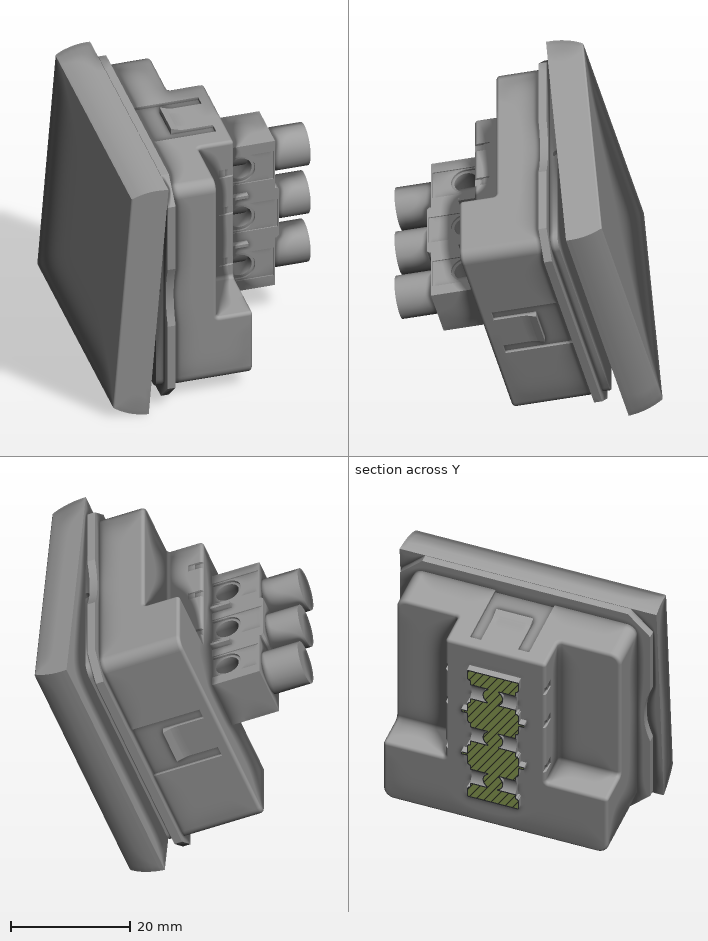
import cadquery as cq


frame_size = 44.85
frame_thickness = 1.4
frame_corner = 4.0
grip_chord = 11.5
grip_depth = 1.15

housing_size = 40.2
housing_depth = 14.25
housing_radius = 1.95
rear_edge_radius = 0.6

core_half_width = 9.0
recess_floor = 7.92
recess_bottom = -7.35

collar_depth = 1.3
collar_size = 39.9
pivot_radius = 0.7
pivot_length = 0.8
pivot_depth = 0.9
support_width = 27.65
support_height = 25.35
support_depth = 3.22

rocker_width = 46.05
rocker_front_width = 44.95
rocker_length = 45.05
rocker_depth = 6.17
rocker_skirt = 0.8
rocker_front_inset = 1.6
rocker_edge_radius = 0.3
rocker_tilt = 4.4
rocker_front_reach = 10.9

tongue_width = 6.65
latch_slot_width = 2.0
latch_pocket_depth = 0.55
latch_pocket_rear = 12.2
tongue_front = 4.9
catch_knee = 6.17
catch_rear = 7.45
catch_height = 0.65
catch_knee_height = 0.2

terminal_pitch = 9.8
terminal_middle = 1.0
terminal_heights = [terminal_middle + i * terminal_pitch for i in (-1, 0, 1)]
block_width = 9.2
block_rear = 22.7
block_end_margin = 4.85
raised_rear = 23.4
raised_height = 10.05
raised_chamfer = 0.35
post_radius = 3.7
post_rear = 29.25
bay_height = 5.57
bay_depth = 0.2
bay_rear_wall = 0.28
wire_hole_y = 16.75
wire_hole_radius = 2.05
screw_radius = 1.8
entry_radius = 2.55
entry_depth = 0.35

rib_width = 11.3
rib_thickness = 0.55
rib_rear = 17.8
divider_heights = [terminal_middle + side * terminal_pitch / 2 for side in (-1, 1)]
notch_heights = [-4.1, 6.2, 13.8]
notch_height = 1.6
notch_depth = 0.45
notch_step_depth = 0.25
notch_step = 12.7
notch_end = 11.6


def box(x_range, y_range, z_range):
    """Box spanning the given (low, high) ranges."""
    size = [high - low for low, high in (x_range, y_range, z_range)]
    return cq.Workplane("XY").box(*size, centered=False).translate((x_range[0], y_range[0], z_range[0]))


def centred_box(width, y_range, height, z_middle=0.0):
    """Box centred on X = 0 and on the given height."""
    half = width / 2
    return box((-half, half), y_range, (z_middle - height / 2, z_middle + height / 2))


def y_cylinder(radius, y_start, y_end, x, z):
    """Cylinder along Y."""
    return cq.Workplane("XZ", origin=(x, y_start, z)).circle(radius).extrude(y_start - y_end)


def x_cylinder(radius, x_start, x_end, y, z):
    """Cylinder along X."""
    return cq.Workplane("YZ", origin=(x_start, y, z)).circle(radius).extrude(x_end - x_start)


def make_frame():
    frame = centred_box(frame_size, (-frame_thickness, 0), frame_size).edges("|Y").chamfer(frame_corner)
    grip_radius = (grip_chord**2 / 4 + grip_depth**2) / (2 * grip_depth)
    grip_centre = frame_size / 2 - grip_depth + grip_radius
    for side in (-1, 1):
        frame = frame.cut(y_cylinder(grip_radius, -frame_thickness, 0, side * grip_centre, 0))
    return frame


def make_housing():
    half = housing_size / 2
    housing = centred_box(housing_size, (0, housing_depth), housing_size)
    housing = housing.edges("|Y").fillet(housing_radius)
    for side in (-1, 1):
        x_range = sorted((side * core_half_width, side * half))
        housing = housing.cut(box(x_range, (recess_floor, housing_depth), (recess_bottom, half)))
    recess_edges = cq.selectors.BoxSelector(
        (-housing_size, recess_floor - rear_edge_radius, recess_bottom - rear_edge_radius),
        (housing_size, housing_depth - rear_edge_radius, housing_size),
    )
    rear_edges = housing.faces(">Y").edges()
    return rear_edges.add(housing.edges(recess_edges)).fillet(rear_edge_radius)


def make_latch_pocket():
    """Pocket in the top face of the housing, on three sides of the tongue."""
    surface = housing_size / 2
    pocket_width = tongue_width + 2 * latch_slot_width
    pocket = centred_box(pocket_width, (0, latch_pocket_rear), 2 * latch_pocket_depth, surface)
    tongue = centred_box(
        tongue_width, (tongue_front, latch_pocket_rear), 2 * latch_pocket_depth, surface
    )
    return pocket.cut(tongue)


def make_catch():
    """Ramp on the top tongue: a concave rise, then a straight slope up to the tongue front."""
    surface = housing_size / 2
    return (
        cq.Workplane("YZ", origin=(-tongue_width / 2, 0, 0))
        .moveTo(latch_pocket_rear, surface)
        .lineTo(catch_rear, surface)
        .tangentArcPoint((catch_knee, surface + catch_knee_height), relative=False)
        .lineTo(tongue_front, surface + catch_height)
        .lineTo(tongue_front, surface - latch_pocket_depth)
        .lineTo(latch_pocket_rear, surface - latch_pocket_depth)
        .close()
        .extrude(tongue_width)
    )


def make_notches():
    """Notches in the core side walls, open to the rear, with a shallower step at the front."""
    floor_x = core_half_width - notch_depth
    step_x = core_half_width - notch_step_depth
    notches = cq.Workplane("XY")
    for z in notch_heights:
        notch = (
            cq.Workplane("XY", origin=(0, 0, z - notch_height / 2))
            .polyline([
                (core_half_width, notch_end),
                (step_x, notch_end),
                (step_x, notch_step),
                (floor_x, notch_step),
                (floor_x, housing_depth),
                (core_half_width, housing_depth),
            ])
            .close()
            .extrude(notch_height)
        )
        notches = notches.add(notch).add(notch.mirror("YZ"))
    return notches.combine()


def make_terminals():
    half = block_width / 2
    bottom = terminal_heights[0] - block_end_margin
    top = terminal_heights[-1] + block_end_margin
    block = box((-half, half), (housing_depth, block_rear), (bottom, top))
    raised = centred_box(block_width, (housing_depth, raised_rear), raised_height, terminal_middle)
    block = block.union(raised.faces(">Y").edges("|X").chamfer(raised_chamfer))
    for z in divider_heights:
        block = block.union(centred_box(rib_width, (housing_depth, rib_rear), rib_thickness, z))
    for z in terminal_heights:
        rear = raised_rear if z == terminal_middle else block_rear
        for side in (-1, 1):
            bay_x = sorted((side * half, side * (half - bay_depth)))
            bay_z = (z - bay_height / 2, z + bay_height / 2)
            block = block.cut(box(bay_x, (housing_depth, rear - bay_rear_wall), bay_z))
            entry_x = sorted((side * half, side * (half - bay_depth - entry_depth)))
            entry_z = (z - entry_radius, z + entry_radius)
            block = block.cut(box(entry_x, (housing_depth, wire_hole_y), entry_z))
            block = block.cut(x_cylinder(entry_radius, *entry_x, wire_hole_y, z))
        block = block.cut(x_cylinder(wire_hole_radius, -half, half, wire_hole_y, z))
        block = block.union(y_cylinder(screw_radius, housing_depth, block_rear, 0, z))
        block = block.union(y_cylinder(post_radius, block_rear, post_rear, 0, z))
    return block


def make_collar():
    front = -frame_thickness - collar_depth
    collar = centred_box(collar_size, (front, -frame_thickness), collar_size)
    collar = collar.edges("|Y").fillet(housing_radius)
    half = collar_size / 2
    pivot_y = front + pivot_length - pivot_radius
    for side in (-1, 1):
        pivot_x = sorted((side * half, side * (half - pivot_depth)))
        collar = collar.cut(x_cylinder(pivot_radius, *pivot_x, pivot_y, 0))
    return collar.union(centred_box(support_width, (front - support_depth, front), support_height))


def make_rocker():
    """Tilted cap with tapered sides and ends that curve in towards the front."""
    back = rocker_length / 2
    front = back - rocker_front_inset
    upper_half = (
        cq.Workplane("YZ", origin=(-rocker_width / 2, 0, 0))
        .moveTo(0, 0)
        .lineTo(0, back)
        .lineTo(-rocker_skirt, back)
        .tangentArcPoint((-rocker_depth, front), relative=False)
        .lineTo(-rocker_depth, 0)
        .close()
        .extrude(rocker_width)
    )
    cap = upper_half.union(upper_half.mirror("XY"))
    taper = (
        cq.Workplane("XY", origin=(0, 0, -rocker_length))
        .polyline([
            (-rocker_width / 2, 0),
            (rocker_width / 2, 0),
            (rocker_front_width / 2, -rocker_depth),
            (-rocker_front_width / 2, -rocker_depth),
        ])
        .close()
        .extrude(2 * rocker_length)
        .edges("|Z and <Y")
        .fillet(rocker_edge_radius)
    )
    rocker = cap.intersect(taper).rotate((0, 0, 0), (-1, 0, 0), rocker_tilt)
    front_reach = -rocker.val().BoundingBox().ymin
    return rocker.translate((0, front_reach - rocker_front_reach, 0))


latch_pocket = make_latch_pocket()
catch = make_catch()
result = (
    make_housing()
    .cut(latch_pocket)
    .cut(latch_pocket.mirror("XY"))
    .cut(make_notches())
    .union(catch)
    .union(catch.mirror("XY"))
    .union(make_frame())
    .union(make_terminals())
    .union(make_collar())
    .union(make_rocker())
)